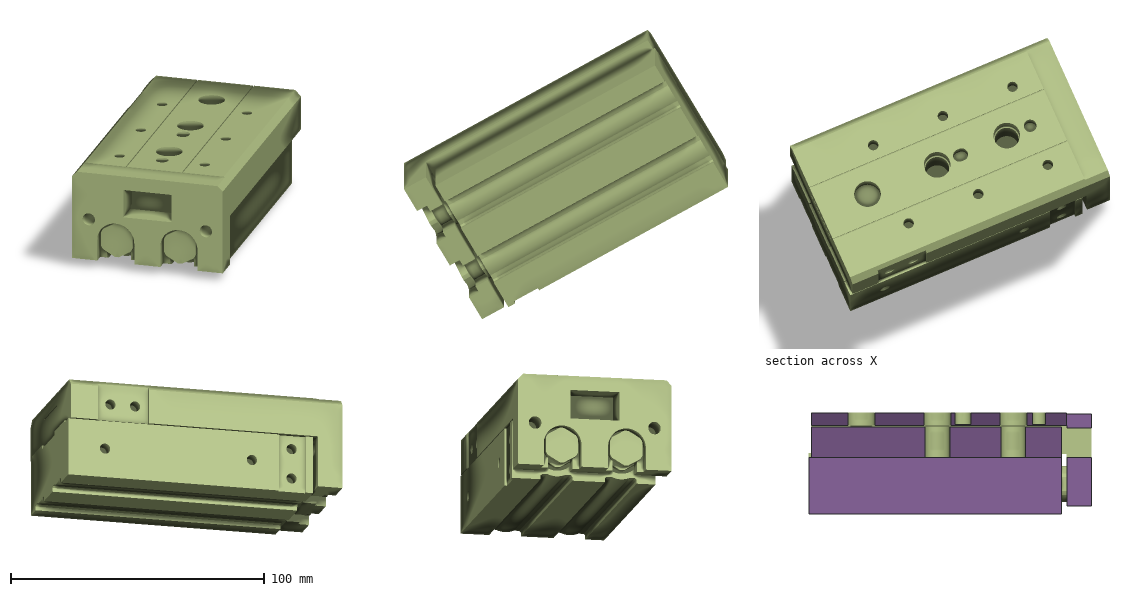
import cadquery as cq
import math


TOTAL_LENGTH = 112.0
BASE_LENGTH = 100.0
PLATE_THICKNESS = 10.0
PLATE_REAR = TOTAL_LENGTH - PLATE_THICKNESS
TABLE_REAR = 1.0
HOLE_PITCH = 30.0

TABLE_WIDTH = 62.0
BASE_WIDTH = 58.0
TOTAL_HEIGHT = 40.0
BASE_TOP = 23.2
BAND_TOP = 24.0
TABLE_BOTTOM = 23.6
PLATE_BOTTOM = 3.0
PLATE_TOP = TOTAL_HEIGHT - 0.3
TABLE_CHAMFER = 2.5
PLATE_CHAMFER = TABLE_CHAMFER - (TOTAL_HEIGHT - PLATE_TOP)
LEFT_SIDE = -TABLE_WIDTH / 2

ROD_X = (-13.0, 13.0)
ROD_HEIGHT = 11.8
ROD_DIAMETER = 9.0
ROD_DEPTH_IN_BASE = 22.4
HEX_ACROSS_FLATS = 13.0
HEX_TURNED_DIAMETER = 14.1
HEX_HEAD_RECESS = 1.5

BORE_DIAMETER = 16.0
BORE_DEPTH = 4.5
NOTCH_WIDTH = 12.8
NOTCH_DEPTH = 2.2
NOTCH_CORNER = 0.7
BARREL_DIAMETER = 18.0
BARREL_BOTTOM = 1.5

RAIL_WIDTH = 19.7
RAIL_BOTTOM = 22.4
RAIL_CLEARANCE = 0.5
TABLE_WEB = 5.0
CHANNEL_TOP = TOTAL_HEIGHT - TABLE_WEB
RAIL_TOP = CHANNEL_TOP - RAIL_CLEARANCE
BANDS_WIDTH = 50.0
BAND_WIDTH = (BANDS_WIDTH - RAIL_WIDTH) / 2

THREAD_DIAMETER = 4.1
THREAD_DEPTH = 5.6
SIDE_HOLES = (15.0, 75.0)
SCREW_HOLE_DIAMETER = 9.5
ACCESS_DIAMETER = 10.5
FRONT_ACCESS_HOLE = 81.0
FRONT_TABLE_HOLE = 91.0
TABLE_HOLE_X = 17.5
PIN_DIAMETER = 5.0
PIN_DEPTH = 4.5
PIN_SLOT_LENGTH = 6.0

BASE_SEAT = (86.0, 97.0)
BASE_SEAT_DEPTH = 1.0
BASE_SEAT_HOLE_PITCH = 12.1
TABLE_SEAT = (12.2, 32.9)
TABLE_SEAT_DEPTH = 1.0
TABLE_SEAT_HOLES = (17.5, 27.5)
TABLE_SEAT_HOLE_HEIGHT = 30.5

GROOVE_X = 11.5
GROOVE_WIDTH = 0.5
GROOVE_DEPTH = 0.3

HEAD_SLOT_WIDTH = 15.2
HEAD_SLOT_DEPTH = 4.5
NECK_SLOT_WIDTH = 10.0
WINDOW_WIDTH = RAIL_WIDTH
WINDOW_BOTTOM = RAIL_BOTTOM
WINDOW_TOP = 33.9
PLATE_HOLE_X = 24.1
PLATE_HOLE_HEIGHT = 20.0
PLATE_HOLE_DIAMETER = 5.0

SCREW_HOLES = (FRONT_ACCESS_HOLE - HOLE_PITCH, FRONT_ACCESS_HOLE)
ACCESS_HOLES = (FRONT_ACCESS_HOLE - 2 * HOLE_PITCH, *SCREW_HOLES)
TABLE_HOLES = [FRONT_TABLE_HOLE - row * HOLE_PITCH for row in range(3)]


def block(left, right, rear, front, bottom, top):
    """Rectangular block; rear and front are distances forward from the rear of the base."""
    size = (right - left, front - rear, top - bottom)
    return cq.Workplane().box(*size, centered=False).translate((left, -front, bottom))


def middle_block(width, rear, front, bottom, top):
    """Block centred on the middle of the table."""
    return block(-width / 2, width / 2, rear, front, bottom, top)


def prism_along_slide(profile, rear, front):
    """Extrude a closed XZ sketch between two distances from the rear of the base."""
    return profile.extrude(front - rear).translate((0, -rear, 0))


def cylinder_along_slide(x, height, diameter, rear, front):
    return prism_along_slide(cq.Workplane("XZ").center(x, height).circle(diameter / 2), rear, front)


def down_hole(x, distance, diameter, bottom, top):
    return cq.Workplane("XY", origin=(x, -distance, bottom)).circle(diameter / 2).extrude(top - bottom)


def side_hole(distance, height, seat_depth=0.0):
    """Threaded hole going in from the left side, or from a seat cut into that side."""
    start = (LEFT_SIDE, -distance, height)
    return cq.Workplane("YZ", origin=start).circle(THREAD_DIAMETER / 2).extrude(seat_depth + THREAD_DEPTH)


def underside_notch(x):
    """Notch with cut upper corners, interrupted by the round belly of the cylinder barrel."""
    half = NOTCH_WIDTH / 2
    notch = (
        cq.Workplane("XZ")
        .moveTo(x - half, 0)
        .lineTo(x - half, NOTCH_DEPTH - NOTCH_CORNER)
        .lineTo(x - half + NOTCH_CORNER, NOTCH_DEPTH)
        .lineTo(x + half - NOTCH_CORNER, NOTCH_DEPTH)
        .lineTo(x + half, NOTCH_DEPTH - NOTCH_CORNER)
        .lineTo(x + half, 0)
        .close()
    )
    barrel_height = BARREL_BOTTOM + BARREL_DIAMETER / 2
    barrel = cylinder_along_slide(x, barrel_height, BARREL_DIAMETER, 0, BASE_LENGTH)
    return prism_along_slide(notch, 0, BASE_LENGTH).cut(barrel)


def make_base():
    base = block(LEFT_SIDE, LEFT_SIDE + BASE_WIDTH, 0, BASE_LENGTH, 0, BASE_TOP)
    for left in (-BANDS_WIDTH / 2, RAIL_WIDTH / 2):
        base = base.union(block(left, left + BAND_WIDTH, 0, BASE_LENGTH, BASE_TOP, BAND_TOP))
    base = base.cut(middle_block(RAIL_WIDTH, 0, BASE_LENGTH, RAIL_BOTTOM, BASE_TOP))
    for x in ROD_X:
        base = base.cut(underside_notch(x))
        base = base.cut(
            cylinder_along_slide(x, ROD_HEIGHT, BORE_DIAMETER, BASE_LENGTH - BORE_DEPTH, BASE_LENGTH)
        )
        rod_end = BASE_LENGTH - ROD_DEPTH_IN_BASE
        base = base.cut(cylinder_along_slide(x, ROD_HEIGHT, ROD_DIAMETER, rod_end, BASE_LENGTH))
    for distance in SIDE_HOLES:
        base = base.cut(side_hole(distance, ROD_HEIGHT))
    base = base.cut(block(LEFT_SIDE, LEFT_SIDE + BASE_SEAT_DEPTH, *BASE_SEAT, 0, BASE_TOP))
    for offset in (-BASE_SEAT_HOLE_PITCH / 2, BASE_SEAT_HOLE_PITCH / 2):
        base = base.cut(side_hole(sum(BASE_SEAT) / 2, ROD_HEIGHT + offset, BASE_SEAT_DEPTH))
    return base


def make_guide_rail():
    """Rail lying in the groove of the base, with holes for its fixing screws."""
    rail = middle_block(RAIL_WIDTH, TABLE_REAR, BASE_LENGTH, RAIL_BOTTOM, RAIL_TOP)
    for distance in SCREW_HOLES:
        rail = rail.cut(down_hole(0, distance, SCREW_HOLE_DIAMETER, RAIL_BOTTOM, RAIL_TOP))
    return rail


def make_table():
    table = middle_block(TABLE_WIDTH, TABLE_REAR, PLATE_REAR, TABLE_BOTTOM, TOTAL_HEIGHT)
    table = table.edges("|Y and >Z").chamfer(TABLE_CHAMFER)
    table = table.cut(middle_block(RAIL_WIDTH, TABLE_REAR, PLATE_REAR, TABLE_BOTTOM, CHANNEL_TOP))
    table = table.cut(middle_block(BANDS_WIDTH, TABLE_REAR, BASE_LENGTH, TABLE_BOTTOM, BAND_TOP))
    for x in (-GROOVE_X, GROOVE_X):
        left = x - GROOVE_WIDTH / 2
        floor = TOTAL_HEIGHT - GROOVE_DEPTH
        table = table.cut(block(left, left + GROOVE_WIDTH, TABLE_REAR, PLATE_REAR, floor, TOTAL_HEIGHT))
    for distance in ACCESS_HOLES:
        table = table.cut(down_hole(0, distance, ACCESS_DIAMETER, CHANNEL_TOP, TOTAL_HEIGHT))
    for distance in TABLE_HOLES:
        for x in (-TABLE_HOLE_X, TABLE_HOLE_X):
            table = table.cut(
                down_hole(x, distance, THREAD_DIAMETER, TOTAL_HEIGHT - THREAD_DEPTH, TOTAL_HEIGHT)
            )
    pin_floor = TOTAL_HEIGHT - PIN_DEPTH
    table = table.cut(down_hole(0, FRONT_TABLE_HOLE, PIN_DIAMETER, pin_floor, TOTAL_HEIGHT))
    slot_centre = (0, -(FRONT_TABLE_HOLE - HOLE_PITCH), pin_floor)
    pin_slot = cq.Workplane("XY", origin=slot_centre).slot2D(PIN_SLOT_LENGTH, PIN_DIAMETER, 90)
    table = table.cut(pin_slot.extrude(PIN_DEPTH))
    seat_right = LEFT_SIDE + TABLE_SEAT_DEPTH
    table = table.cut(block(LEFT_SIDE, seat_right, *TABLE_SEAT, TABLE_BOTTOM, TOTAL_HEIGHT))
    for distance in TABLE_SEAT_HOLES:
        table = table.cut(side_hole(distance, TABLE_SEAT_HOLE_HEIGHT, TABLE_SEAT_DEPTH))
    return table


def rod_slot(x, width, rear, front):
    """Slot open at the bottom of the end plate and rounded around the rod axis."""
    half = width / 2
    round_end = cylinder_along_slide(x, ROD_HEIGHT, width, rear, front)
    return round_end.union(block(x - half, x + half, rear, front, PLATE_BOTTOM, ROD_HEIGHT))


def make_end_plate():
    plate = middle_block(TABLE_WIDTH, PLATE_REAR, TOTAL_LENGTH, PLATE_BOTTOM, PLATE_TOP)
    plate = plate.edges("|Y and >Z").chamfer(PLATE_CHAMFER)
    plate = plate.cut(middle_block(WINDOW_WIDTH, PLATE_REAR, TOTAL_LENGTH, WINDOW_BOTTOM, WINDOW_TOP))
    for x in ROD_X:
        plate = plate.cut(rod_slot(x, NECK_SLOT_WIDTH, PLATE_REAR, TOTAL_LENGTH))
        plate = plate.cut(rod_slot(x, HEAD_SLOT_WIDTH, TOTAL_LENGTH - HEAD_SLOT_DEPTH, TOTAL_LENGTH))
    for x in (-PLATE_HOLE_X, PLATE_HOLE_X):
        plate = plate.cut(
            cylinder_along_slide(x, PLATE_HOLE_HEIGHT, PLATE_HOLE_DIAMETER, PLATE_REAR, TOTAL_LENGTH)
        )
    return plate


def turned_hexagon(x, rear, front):
    """Hexagon with upright flats on its sides and turned-down corners."""
    across_corners = HEX_ACROSS_FLATS / math.cos(math.pi / 6)
    hexagon = cq.Workplane("XZ").polygon(6, across_corners).extrude(front - rear)
    hexagon = hexagon.rotate((0, 0, 0), (0, 1, 0), 30).translate((x, -rear, ROD_HEIGHT))
    return hexagon.intersect(cylinder_along_slide(x, ROD_HEIGHT, HEX_TURNED_DIAMETER, rear, front))


def make_piston_rod(x):
    """Rod with a hexagonal head in front of the end plate's neck slot and a collar behind it."""
    head_rear = TOTAL_LENGTH - HEAD_SLOT_DEPTH
    head_front = TOTAL_LENGTH - HEX_HEAD_RECESS
    rod = cylinder_along_slide(x, ROD_HEIGHT, ROD_DIAMETER, BASE_LENGTH - ROD_DEPTH_IN_BASE, head_front)
    rod = rod.union(turned_hexagon(x, head_rear, head_front))
    return rod.union(turned_hexagon(x, BASE_LENGTH, PLATE_REAR))


base = make_base()
guide_rail = make_guide_rail()
table = make_table()
end_plate = make_end_plate()
piston_rods = [make_piston_rod(x) for x in ROD_X]

result = cq.Compound.makeCompound(
    [base.val(), guide_rail.val(), table.val(), end_plate.val(), *[rod.val() for rod in piston_rods]]
)